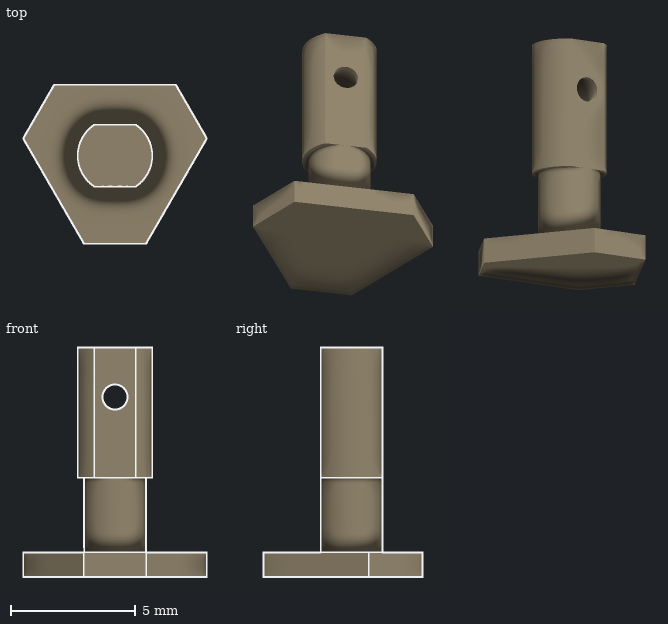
import cadquery as cq
import math

plate_thickness = 1.0
short_side = 2.5
long_side = 4.9

neck_diameter = 2.5
neck_length = 3.0

head_diameter = 3.0
head_flat_spacing = neck_diameter
head_length = 5.25

hole_diameter = 1.0
hole_depth_below_top = 2.0

neck_bottom = plate_thickness
head_bottom = neck_bottom + neck_length
total_height = head_bottom + head_length


def make_plate():
    """Six-sided plate whose triangle centroid lies on the Z axis."""
    full_side = long_side + 2 * short_side
    triangle_height = full_side * math.sqrt(3) / 2
    corner_height = short_side * math.sqrt(3) / 2
    back_y = triangle_height / 3
    widest_y = back_y - corner_height
    front_y = back_y - triangle_height + corner_height
    half_width = (long_side + short_side) / 2
    outline = [
        (-short_side / 2, front_y),
        (short_side / 2, front_y),
        (half_width, widest_y),
        (long_side / 2, back_y),
        (-long_side / 2, back_y),
        (-half_width, widest_y),
    ]
    return cq.Workplane("XY").polyline(outline).close().extrude(plate_thickness)


def make_neck():
    return cq.Workplane("XY").workplane(offset=neck_bottom).circle(neck_diameter / 2).extrude(neck_length)


def make_head():
    """Cylinder trimmed by a slab to leave two parallel flats."""
    head_plane = cq.Workplane("XY").workplane(offset=head_bottom)
    cylinder = head_plane.circle(head_diameter / 2).extrude(head_length)
    slab = head_plane.rect(head_diameter, head_flat_spacing).extrude(head_length)
    return cylinder.intersect(slab)


def make_cross_hole():
    """Cutter along Y, long enough to pass through the whole head."""
    hole_z = total_height - hole_depth_below_top
    return (
        cq.Workplane("XZ")
        .center(0, hole_z)
        .circle(hole_diameter / 2)
        .extrude(head_diameter / 2, both=True)
    )


result = make_plate().union(make_neck()).union(make_head()).cut(make_cross_hole())